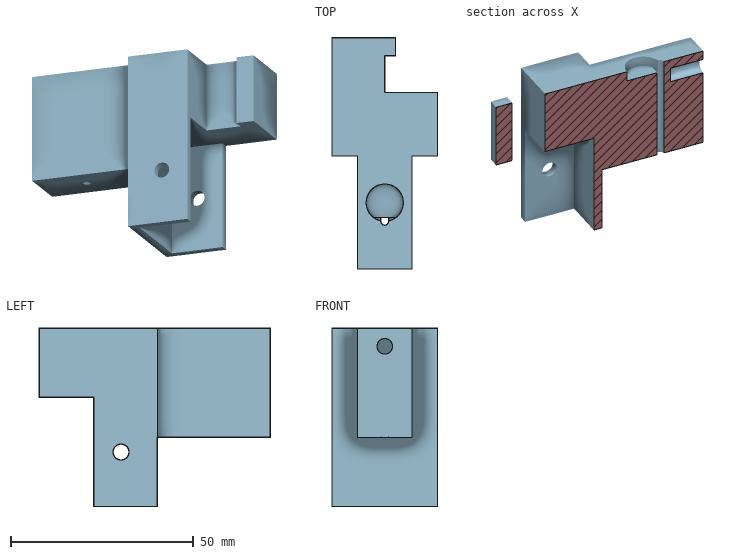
import cadquery as cq

block_width = 29.0
block_length = 17.5
total_height = 49.0
center_x = block_width / 2

arm_width = 15.0
arm_length = 31.0
arm_height = 30.0
arm_front_y = -arm_length

hook_length = 15.0
hook_height = 19.0
hook_stem_width = center_x
hook_tip_width = 17.5
hook_tip_length = 5.0

wall = 2.5
cavity_width = block_width - 2 * wall
cavity_length = block_length - wall
cavity_height = total_height - hook_height

cross_hole_diameter = 4.3
cross_hole_y = wall + cavity_length / 2
cross_hole_z = cavity_height / 2

front_hole_diameter = 4.27
front_hole_drop = 5.0
front_hole_depth = 10.0

pocket_diameter = 10.2
pocket_depth = 3.0
pocket_y = arm_front_y + 18.25
step_edge_y = arm_front_y + 14.1
step_depth = 1.0

slot_width = 2.1
slot_front_y = arm_front_y + 12.1


def box_below_top(x, y, width, length, height):
    """Box with its low X and Y corner at (x, y), hanging down from the top face."""
    bottom_z = total_height - height
    return cq.Workplane("XY").box(width, length, height, centered=False).translate((x, y, bottom_z))


def make_body():
    block = box_below_top(0, 0, block_width, block_length, total_height)
    arm = box_below_top(center_x - arm_width / 2, arm_front_y, arm_width, arm_length, arm_height)
    stem = box_below_top(0, block_length, hook_stem_width, hook_length, hook_height)
    tip_y = block_length + hook_length - hook_tip_length
    tip = box_below_top(0, tip_y, hook_tip_width, hook_tip_length, hook_height)
    return block.union(arm).union(stem).union(tip)


def make_cavity():
    """Rectangular cavity that leaves the two side walls and the front wall."""
    cavity = cq.Workplane("XY").box(cavity_width, cavity_length, cavity_height, centered=False)
    return cavity.translate((wall, wall, 0))


def make_cross_hole():
    """Hole through both side walls along X."""
    plane = cq.Workplane("YZ").center(cross_hole_y, cross_hole_z)
    return plane.circle(cross_hole_diameter / 2).extrude(block_width)


def make_front_hole():
    """Blind hole along Y in the end of the arm."""
    plane = cq.Workplane("XZ", origin=(center_x, arm_front_y, total_height - front_hole_drop))
    return plane.circle(front_hole_diameter / 2).extrude(-front_hole_depth)


def pocket_cylinder(depth):
    plane = cq.Workplane("XY", origin=(center_x, pocket_y, total_height))
    return plane.circle(pocket_diameter / 2).extrude(-depth)


def make_pocket():
    """Round pocket whose front segment is one step deeper than the rest."""
    deep_depth = pocket_depth + step_depth
    segment_limit = box_below_top(0, arm_front_y, block_width, step_edge_y - arm_front_y, deep_depth)
    front_segment = pocket_cylinder(deep_depth).intersect(segment_limit)
    return pocket_cylinder(pocket_depth).union(front_segment)


def make_slot():
    """Slot through the arm along Z: square at the step edge, round at the front."""
    radius = slot_width / 2
    round_y = slot_front_y + radius
    outline = (
        cq.Workplane("XY", origin=(center_x, 0, total_height))
        .moveTo(-radius, step_edge_y)
        .lineTo(-radius, round_y)
        .threePointArc((0, slot_front_y), (radius, round_y))
        .lineTo(radius, step_edge_y)
        .close()
    )
    return outline.extrude(-arm_height)


result = (
    make_body()
    .cut(make_cavity())
    .cut(make_cross_hole())
    .cut(make_front_hole())
    .cut(make_pocket())
    .cut(make_slot())
)